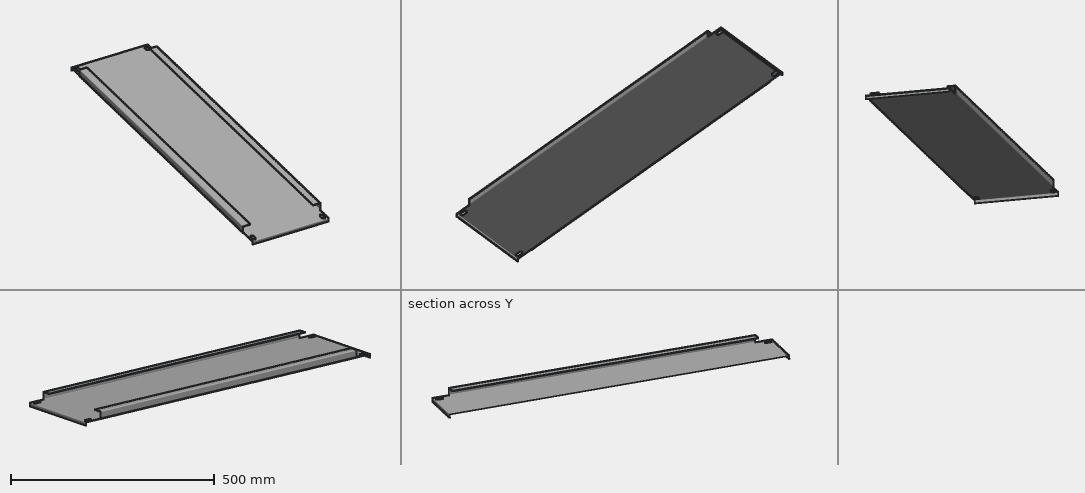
import cadquery as cq

length = 910.0
width = 220.0
height = 29.0
sheet = 2.0

lip_step = 3.0
plate_width = width - 2 * lip_step
end_drop = 10.0
flange_setback = 45.5
flange_length = length - 2 * flange_setback
lip_width = 22.0
bend_radius = 3.0

slot_length = 19.0
slot_height = 8.0
slot_end_offset = 15.5
slot_edge_offset = 10.0

inner_radius = bend_radius - sheet
plate_bottom = end_drop - sheet


def box_from(x_size, y_size, z_size, z_bottom):
    """Box centred on the Z axis, standing on z_bottom."""
    return (
        cq.Workplane("XY", origin=(0, 0, z_bottom))
        .box(x_size, y_size, z_size, centered=(True, True, False))
    )


def end_folded_plate():
    """Plate with both ends folded down."""
    outer = box_from(length, plate_width, end_drop, 0).edges("|Y and >Z").fillet(bend_radius)
    inside = box_from(length - 2 * sheet, plate_width, plate_bottom, 0).edges("|Y and >Z").fillet(inner_radius)
    return outer.cut(inside)


def side_channel():
    """Floor, upright long flanges and the lips folded inward over the plate."""
    channel_height = height - plate_bottom
    outer = box_from(flange_length, width, channel_height, plate_bottom).edges("|X").fillet(bend_radius)
    inside = (
        box_from(flange_length, width - 2 * sheet, channel_height - 2 * sheet, end_drop)
        .edges("|X").fillet(inner_radius)
    )
    opening = box_from(flange_length, width - 2 * lip_width, channel_height, end_drop)
    return outer.cut(inside).cut(opening)


def mounting_slots():
    """Four rounded slots, one near each plate corner."""
    return (
        cq.Workplane("XY")
        .rect(length - 2 * slot_end_offset, plate_width - 2 * slot_edge_offset, forConstruction=True)
        .vertices()
        .slot2D(slot_length, slot_height)
        .extrude(height)
    )


result = end_folded_plate().union(side_channel()).cut(mounting_slots())